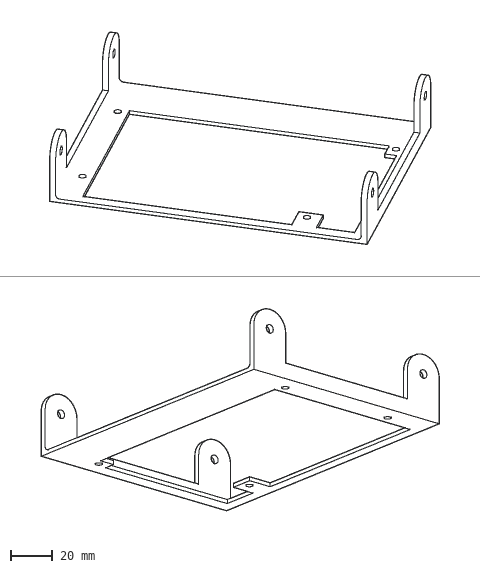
import cadquery as cq

length = 157.0
width = 116.0
height = 33.0

floor_thickness = 2.0
wall_thickness = 3.0
rail_height = 8.0
bend_radius = 2.0

ear_width = 20.0
ear_radius = ear_width / 2
ear_centre_z = height - ear_radius
ear_centre_y = width / 2 - ear_radius
ear_hole_diameter = 4.2

window_left = -63.6
window_right = 70.6
window_back = 32.3
window_front = -52.5
window_front_right = -51.8
corner_tab_left = 64.8
corner_tab_front = 24.3
front_tab_left = 39.7
front_tab_right = 51.8
front_tab_back = -39.5

mount_hole_diameter = 3.5
mount_hole_x = 68.8
mount_hole_back_y = 30.1
mount_hole_front_y = -33.9
front_tab_hole = (44.9, -43.8)
mount_holes = [
    (-mount_hole_x, mount_hole_back_y),
    (mount_hole_x, mount_hole_back_y),
    (-mount_hole_x, mount_hole_front_y),
    front_tab_hole,
]


def make_channel():
    """Full-height U channel with rounded inside bends."""
    inner_length = length - 2 * wall_thickness
    block = cq.Workplane("XY").box(length, width, height, centered=(True, True, False))
    cavity = (
        cq.Workplane("XY", origin=(0, 0, floor_thickness))
        .box(inner_length, width, height, centered=(True, True, False))
        .edges("|Y and <Z")
        .fillet(bend_radius)
    )
    return block.cut(cavity)


def make_wall_profile():
    """Side outline of both walls, extruded across the whole length."""
    profile = cq.Workplane("XY").box(length, width, rail_height, centered=(True, True, False))
    for y in (-ear_centre_y, ear_centre_y):
        post = (
            cq.Workplane("XY", origin=(0, y, 0))
            .box(length, ear_width, ear_centre_z, centered=(True, True, False))
        )
        profile = profile.union(post).union(make_cross_cylinder(y, ear_width))
    return profile


def make_cross_cylinder(y, diameter):
    """Cylinder along X through the ear centre at the given Y."""
    return (
        cq.Workplane("YZ", origin=(-length / 2, y, ear_centre_z))
        .circle(diameter / 2)
        .extrude(length)
    )


def make_window():
    """Cutter for the floor window, stepped around the two tabs."""
    outline = [
        (window_left, window_back),
        (corner_tab_left, window_back),
        (corner_tab_left, corner_tab_front),
        (window_right, corner_tab_front),
        (window_right, window_front_right),
        (front_tab_right, window_front_right),
        (front_tab_right, front_tab_back),
        (front_tab_left, front_tab_back),
        (front_tab_left, window_front),
        (window_left, window_front),
    ]
    return cq.Workplane("XY").polyline(outline).close().extrude(floor_thickness)


def make_mount_holes():
    """Cutters for the floor mounting holes."""
    return (
        cq.Workplane("XY")
        .pushPoints(mount_holes)
        .circle(mount_hole_diameter / 2)
        .extrude(floor_thickness)
    )


result = make_channel().intersect(make_wall_profile())
for ear_y in (-ear_centre_y, ear_centre_y):
    result = result.cut(make_cross_cylinder(ear_y, ear_hole_diameter))
result = result.cut(make_window()).cut(make_mount_holes())